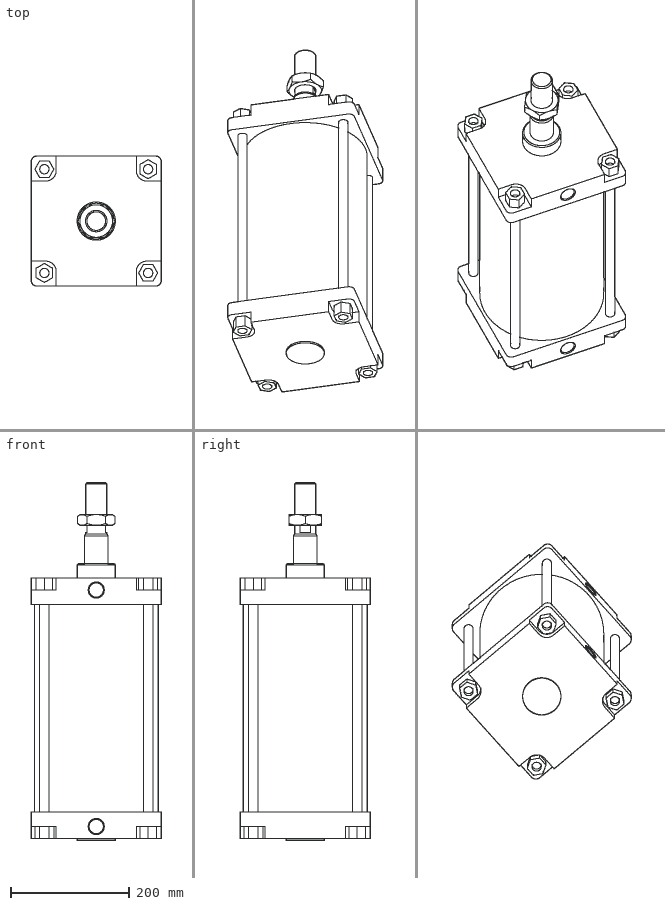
import cadquery as cq
import math

overall_length = 605.0

head_side = 220.0
head_height = 45.5
head_corner_radius = 9.5
boss_diameter = 65.0
rear_boss_height = 3.0
collar_height = 24.0
collar_chamfer = 2.1

port_diameter = 24.0
port_mouth_diameter = 27.0
port_depth = 30.0
drill_point_angle = 118.0

pocket_depth = 20.5
pocket_size = 42.5
pocket_radius = 17.5

tube_outer_diameter = 210.0
tube_inner_diameter = 200.0
tube_length = 350.0

tie_rod_diameter = 16.0
tie_rod_offset = 88.0
tie_nut_flats = 28.0
tie_nut_recess_depth = 13.5

rod_diameter = 40.0
thread_diameter = 36.0
rod_tip_chamfer = 2.5
rod_shoulder_height = 46.5
rod_taper_height = 3.5
wrench_flats = 31.5
wrench_flats_gap = 2.5
lock_nut_flats = 55.0
lock_nut_height = 18.0
lock_nut_clearance = 14.5
lock_nut_chamfer_angle = 35.0

rear_head_bottom = rear_boss_height
tube_bottom = rear_head_bottom + head_height
tube_top = tube_bottom + tube_length
front_head_top = tube_top + head_height
collar_top = front_head_top + collar_height
shoulder_level = collar_top + rod_shoulder_height
thread_level = shoulder_level + rod_taper_height
flats_bottom = thread_level + wrench_flats_gap
lock_nut_bottom = thread_level + lock_nut_clearance

CORNER_ANGLES = [45, 135, 225, 315]
HEX_HALF_ANGLE = math.radians(30)


def cylinder(diameter, bottom, height):
    return cq.Workplane("XY").workplane(offset=bottom).circle(diameter / 2).extrude(height)


def hexagon(flats, bottom, height):
    """Hexagonal prism with two corners on the X axis."""
    corner_diameter = flats / math.cos(HEX_HALF_ANGLE)
    return cq.Workplane("XY").workplane(offset=bottom).polygon(6, corner_diameter).extrude(height)


def at_corners(shape):
    """Four copies of a shape made for the +X +Y corner, turned about the cylinder axis."""
    return [shape.rotate((0, 0, 0), (0, 0, 1), angle - CORNER_ANGLES[0]) for angle in CORNER_ANGLES]


def make_port(level):
    """Drilled hole along +Y from the -Y face, with a chamfered mouth and a conical end."""
    radius = port_diameter / 2
    point_length = radius / math.tan(math.radians(drill_point_angle / 2))
    mouth_radius = port_mouth_diameter / 2
    profile = [
        (0, 0),
        (mouth_radius, 0),
        (radius, mouth_radius - radius),
        (radius, port_depth),
        (0, port_depth + point_length),
    ]
    port = cq.Workplane("XY").polyline(profile).close()
    return port.revolve(360, (0, 0, 0), (0, 1, 0)).translate((0, -head_side / 2, level))


def make_pocket(floor, height):
    """Square pocket around the +X +Y tie rod, rounded at its inner corner, open outward."""
    start = head_side / 2 - pocket_size
    return (
        cq.Workplane("XY")
        .box(pocket_size, pocket_size, height, centered=False)
        .edges("|Z and <X and <Y")
        .fillet(pocket_radius)
        .translate((start, start, floor))
    )


def make_head_block(bottom, pocket_bottom):
    """Square plate with four tie rod holes and four corner pockets."""
    head = (
        cq.Workplane("XY")
        .workplane(offset=bottom)
        .rect(head_side, head_side)
        .extrude(head_height)
        .edges("|Z")
        .fillet(head_corner_radius)
    )
    for pocket in at_corners(make_pocket(pocket_bottom, pocket_depth)):
        head = head.cut(pocket)
    tie_rod_hole = cylinder(tie_rod_diameter, bottom, head_height)
    for hole in at_corners(tie_rod_hole.translate((tie_rod_offset, tie_rod_offset, 0))):
        head = head.cut(hole)
    return head


def make_rear_head():
    head = make_head_block(rear_head_bottom, rear_head_bottom)
    head = head.union(cylinder(boss_diameter, 0, rear_boss_height))
    return head.cut(make_port(rear_head_bottom + pocket_depth))


def make_front_head():
    head = make_head_block(tube_top, front_head_top - pocket_depth)
    collar = cylinder(boss_diameter, front_head_top, collar_height).faces(">Z").chamfer(collar_chamfer)
    head = head.union(collar)
    head = head.cut(cylinder(rod_diameter, tube_top, collar_top - tube_top))
    return head.cut(make_port(front_head_top - pocket_depth))


def make_tube():
    tube = cylinder(tube_outer_diameter, tube_bottom, tube_length)
    return tube.cut(cylinder(tube_inner_diameter, tube_bottom, tube_length))


def make_tie_rod():
    """Tie rod of the +X +Y corner; each nut stands in a pocket and is hollow at its outer end."""
    lower_nut = hexagon(tie_nut_flats, rear_head_bottom, pocket_depth)
    upper_nut = hexagon(tie_nut_flats, front_head_top - pocket_depth, pocket_depth)
    upper_nut = upper_nut.rotate((0, 0, 0), (0, 0, 1), 90)
    rod = cylinder(tie_rod_diameter, rear_head_bottom, front_head_top - rear_head_bottom)
    rod = rod.union(lower_nut).union(upper_nut)
    rod = rod.cut(cylinder(tie_rod_diameter, rear_head_bottom, tie_nut_recess_depth))
    rod = rod.cut(cylinder(tie_rod_diameter, front_head_top - tie_nut_recess_depth, tie_nut_recess_depth))
    return rod.translate((tie_rod_offset, tie_rod_offset, 0))


def make_piston_rod():
    """Stepped rod from the inner face of the front head, with two wrench flats under the nut."""
    profile = [
        (0, tube_top),
        (rod_diameter / 2, tube_top),
        (rod_diameter / 2, shoulder_level),
        (thread_diameter / 2, thread_level),
        (thread_diameter / 2, overall_length - rod_tip_chamfer),
        (thread_diameter / 2 - rod_tip_chamfer, overall_length),
        (0, overall_length),
    ]
    rod = cq.Workplane("XZ").polyline(profile).close().revolve(360, (0, 0, 0), (0, 1, 0))
    flats_height = lock_nut_bottom - flats_bottom
    band = cylinder(rod_diameter, flats_bottom, flats_height)
    core = cq.Workplane("XY").box(wrench_flats, rod_diameter, flats_height, centered=(True, True, False))
    return rod.cut(band.cut(core.translate((0, 0, flats_bottom))))


def make_lock_nut():
    """Hexagonal nut whose corners are turned off conically at both ends."""
    corner_radius = lock_nut_flats / 2 / math.cos(HEX_HALF_ANGLE)
    face_radius = lock_nut_flats / 2
    chamfer_height = (corner_radius - face_radius) * math.tan(math.radians(lock_nut_chamfer_angle))
    profile = [
        (0, 0),
        (face_radius, 0),
        (corner_radius, chamfer_height),
        (corner_radius, lock_nut_height - chamfer_height),
        (face_radius, lock_nut_height),
        (0, lock_nut_height),
    ]
    envelope = cq.Workplane("XZ").polyline(profile).close().revolve(360, (0, 0, 0), (0, 1, 0))
    nut = hexagon(lock_nut_flats, 0, lock_nut_height).intersect(envelope)
    nut = nut.cut(cylinder(thread_diameter, 0, lock_nut_height))
    return nut.translate((0, 0, lock_nut_bottom))


rear_head = make_rear_head()
front_head = make_front_head()
tube = make_tube()
tie_rods = at_corners(make_tie_rod())
piston_rod = make_piston_rod()
lock_nut = make_lock_nut()

result = cq.Compound.makeCompound(
    [
        rear_head.val(),
        front_head.val(),
        tube.val(),
        *[tie_rod.val() for tie_rod in tie_rods],
        piston_rod.val(),
        lock_nut.val(),
    ]
)